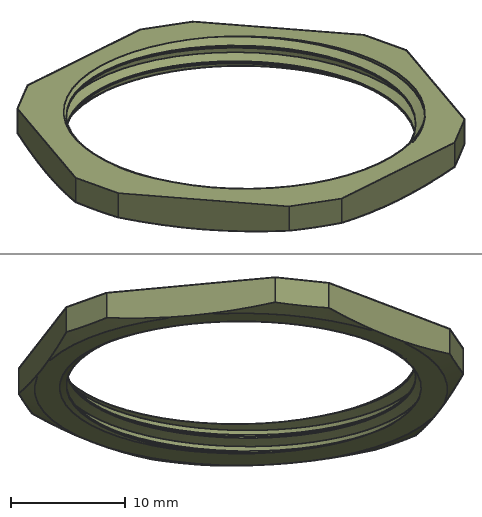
import cadquery as cq
import math

across_flats = 36.0
across_corners = 38.75
height = 2.85
bore_radius = 15.22
thread_root_radius = 16.05
thread_pitch = 1.5
root_width = 0.43
flank_angle = 30
root_direction = 90
groove_overlap = 0.05
chamfer_face_diameter = across_flats
chamfer_height = 0.45


def hexagon(flat_distance):
    """Hexagonal prism with two flats facing +Y and -Y."""
    corner_diameter = flat_distance / math.cos(math.pi / 6)
    return cq.Workplane("XY").polygon(6, corner_diameter).extrude(height)


def nut_blank():
    """Hexagonal prism whose corners are trimmed by a second hexagon."""
    flats_on_x = hexagon(across_flats).rotate((0, 0, 0), (0, 0, 1), 30)
    return flats_on_x.intersect(hexagon(across_corners))


def chamfer_envelope():
    """Solid of revolution that bevels the lower outer edge."""
    face_radius = chamfer_face_diameter / 2
    slope = chamfer_height / (across_corners / 2 - face_radius)
    outer_radius = across_corners
    cone_top = (outer_radius - face_radius) * slope
    profile = [
        (0, 0),
        (face_radius, 0),
        (outer_radius, cone_top),
        (outer_radius, cone_top + height),
        (0, cone_top + height),
    ]
    return cq.Workplane("XZ").polyline(profile).close().revolve(360, (0, 0), (0, 1))


def bore_cutter():
    """Plain through bore at the thread crests."""
    return cq.Workplane("XY").circle(bore_radius).extrude(height)


def thread_cutter():
    """Right-handed helical V groove that runs out past both faces."""
    turns_below = 2
    turns = turns_below + math.ceil(height / thread_pitch)
    inner_radius = bore_radius - groove_overlap
    root_half = root_width / 2
    mouth_half = root_half + (thread_root_radius - inner_radius) * math.tan(math.radians(flank_angle))
    profile = [
        (inner_radius, -mouth_half),
        (thread_root_radius, -root_half),
        (thread_root_radius, root_half),
        (inner_radius, mouth_half),
    ]
    path = cq.Wire.makeHelix(thread_pitch, turns * thread_pitch, bore_radius)
    groove = cq.Workplane("XZ").polyline(profile).close().sweep(cq.Workplane(obj=path), isFrenet=True)
    start_height = height - (turns - 1) * thread_pitch
    return groove.rotate((0, 0, 0), (0, 0, 1), root_direction).translate((0, 0, start_height))


result = nut_blank().intersect(chamfer_envelope()).cut(bore_cutter()).cut(thread_cutter())